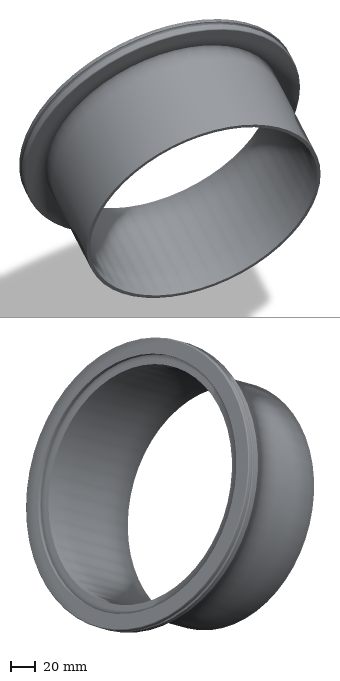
import cadquery as cq

length = 100.0
flange_radius = 240 / 2
tube_radius = 203.3 / 2
bore_radius = 197.3 / 2

recess_radius = 213.0 / 2
recess_depth = 3.5

rim_end = 10.8
front_edge_round = 1.0
groove_center = 4.8
groove_radius = 1.5

cone_start = 11.8
shoulder_radius = flange_radius - (cone_start - rim_end)
tube_start = 12.2


def turn(profile):
    """Revolve a half section, drawn as (axial, radial), about the X axis."""
    return profile.close().revolve(360, (0, 0, 0), (1, 0, 0))


def make_body():
    """Hollow tube and flange, with the recess and rim groove in the section."""
    section = (
        cq.Workplane("XY")
        .moveTo(0, recess_radius)
        .lineTo(0, flange_radius - front_edge_round)
        .radiusArc((front_edge_round, flange_radius), front_edge_round)
        .lineTo(groove_center - groove_radius, flange_radius)
        .threePointArc(
            (groove_center, flange_radius - groove_radius),
            (groove_center + groove_radius, flange_radius),
        )
        .lineTo(rim_end, flange_radius)
        .radiusArc((cone_start, shoulder_radius), cone_start - rim_end)
        .lineTo(tube_start, tube_radius)
        .lineTo(length, tube_radius)
        .lineTo(length, bore_radius)
        .lineTo(recess_depth, bore_radius)
        .lineTo(recess_depth, recess_radius)
    )
    return turn(section)


result = make_body()